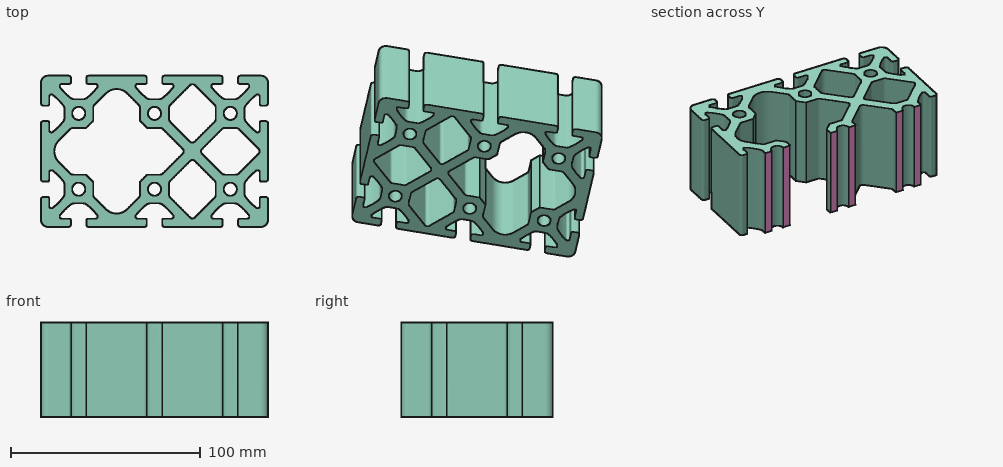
import math

import cadquery as cq

module = 40.0
columns = 3
rows = 2
width = columns * module
depth = rows * module
length = 50.0
corner_radius = 4.0

slot_opening = 8.0
lip_thickness = 4.5
slot_depth = 12.5
slot_floor_flat = 4.3
lip_outer_radius = 1.5
lip_inner_radius = 1.0
slot_floor_radius = 3.5
slot_flank_radius = 28.0
slot_flank_sweep = 16.0

core_hole_diameter = 6.8
core_half_width = 7.75
core_flat_length = 7.7
cavity_half_width = module / 2 - core_half_width
cavity_reach = cavity_half_width + core_flat_length / 2
cavity_tip_radius = 1.75
cavity_corner_radius = 2.0
large_cavity_tip_radius = 8.0

SHARP = 0.0
TOLERANCE = 1e-6


def turned(corners, degrees, origin=(0.0, 0.0)):
    """Rotate (x, y, radius) corners about zero, then move them to the origin point."""
    c = math.cos(math.radians(degrees))
    s = math.sin(math.radians(degrees))
    return [(origin[0] + x * c - y * s, origin[1] + x * s + y * c, r) for x, y, r in corners]


def rounded_outline(corners):
    """Closed wire through (x, y, radius) corners, each rounded by a tangent arc."""
    pieces = []
    for i, (x, y, radius) in enumerate(corners):
        corner = cq.Vector(x, y)
        before = corners[i - 1]
        after = corners[(i + 1) % len(corners)]
        to_before = (cq.Vector(before[0], before[1]) - corner).normalized()
        to_after = (cq.Vector(after[0], after[1]) - corner).normalized()
        half_angle = to_before.getAngle(to_after) / 2
        setback = radius / math.tan(half_angle)
        to_middle = radius / math.sin(half_angle) - radius
        start = corner + to_before * setback
        middle = corner + (to_before + to_after).normalized() * to_middle
        end = corner + to_after * setback
        pieces.append((start, middle, end, radius))

    position = pieces[-1][2]
    path = cq.Workplane("XY").moveTo(position.x, position.y)
    for start, middle, end, radius in pieces:
        if (start - position).Length > TOLERANCE:
            path = path.lineTo(start.x, start.y)
        if radius > SHARP:
            path = path.threePointArc((middle.x, middle.y), (end.x, end.y))
        position = end
    return path.close()


def prism(corners):
    return rounded_outline(corners).extrude(length)


def slot_corners():
    """T-slot in a face along +X at y = 0, opening towards -Y, listed from -X to +X."""
    half_opening = slot_opening / 2
    lower_slope = math.radians(45 - slot_flank_sweep / 2)
    upper_slope = math.radians(45 + slot_flank_sweep / 2)
    floor_setback = slot_floor_radius * math.tan(lower_slope / 2)
    flank_setback = slot_flank_radius * math.tan((upper_slope - lower_slope) / 2)

    floor_x = slot_floor_flat / 2 + floor_setback
    lower_run = floor_setback + flank_setback
    flank_x = floor_x + lower_run * math.cos(lower_slope)
    flank_y = slot_depth - lower_run * math.sin(lower_slope)
    upper_run = (flank_y - lip_thickness) / math.sin(upper_slope)
    tip_x = flank_x + upper_run * math.cos(upper_slope)
    tip_radius = (upper_run - flank_setback) * math.tan(upper_slope / 2)

    right = [
        (floor_x, slot_depth, slot_floor_radius),
        (flank_x, flank_y, slot_flank_radius),
        (tip_x, lip_thickness, tip_radius),
        (half_opening, lip_thickness, lip_inner_radius),
        (half_opening, 0.0, lip_outer_radius),
    ]
    left = [(-x, y, r) for x, y, r in reversed(right)]
    return left + right


def module_centres(count):
    return [(i - (count - 1) / 2) * module for i in range(count)]


def side_corners(count, face_distance, degrees):
    """One side of the profile: its starting corner followed by its slots."""
    side = [(-count * module / 2, -face_distance, corner_radius)]
    for centre in module_centres(count):
        side += turned(slot_corners(), 0, (centre, -face_distance))
    return turned(side, degrees)


def outer_body():
    outline = []
    for quarter in range(4):
        if quarter % 2 == 0:
            outline += side_corners(columns, depth / 2, 90 * quarter)
        else:
            outline += side_corners(rows, width / 2, 90 * quarter)
    return prism(outline)


def small_cavity(x, y, degrees):
    """Six-sided cavity between two cores, with its tips along the given direction."""
    half_flat = core_flat_length / 2
    half = [
        (-half_flat, -cavity_half_width, cavity_corner_radius),
        (half_flat, -cavity_half_width, cavity_corner_radius),
        (cavity_reach, 0.0, cavity_tip_radius),
    ]
    return prism(turned(half + turned(half, 180), degrees, (x, y)))


def large_cavity(x, y):
    """Four-lobed cavity between four cores; the +X lobe has a tighter tip."""
    half_module = module / 2
    half_flat = core_flat_length / 2
    outline = []
    for quarter in range(4):
        tip_radius = cavity_tip_radius if quarter == 0 else large_cavity_tip_radius
        lobe = [
            (half_module - half_flat, -cavity_half_width, SHARP),
            (half_module + half_flat, -cavity_half_width, cavity_corner_radius),
            (half_module + cavity_reach, 0.0, tip_radius),
            (half_module + half_flat, cavity_half_width, cavity_corner_radius),
            (half_module - half_flat, cavity_half_width, SHARP),
        ]
        outline += turned(lobe, 90 * quarter, (x, y))
    return prism(outline)


def core_holes():
    centres = [(x, y) for x in module_centres(columns) for y in module_centres(rows)]
    return cq.Workplane("XY").pushPoints(centres).circle(core_hole_diameter / 2).extrude(length)


half_pitch = module / 2
result = (
    outer_body()
    .cut(core_holes())
    .cut(large_cavity(-half_pitch, 0.0))
    .cut(small_cavity(half_pitch, half_pitch, 90))
    .cut(small_cavity(half_pitch, -half_pitch, 90))
    .cut(small_cavity(module, 0.0, 0))
)